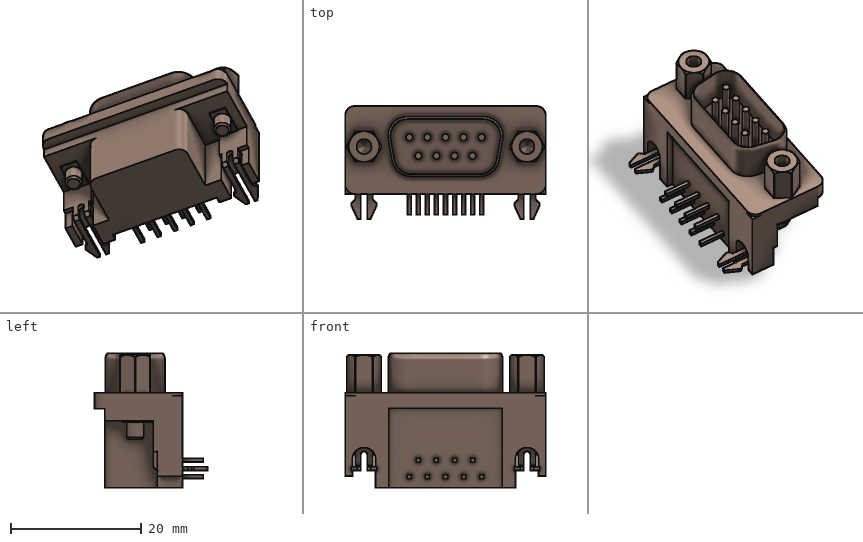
import cadquery as cq
import math


WIDTH = 30.81
FRONT_Y = -7.29
FLANGE_BACK_Y = 6.253
FLANGE_PLATE_T = 0.48
FLANGE_CORNER_R = 1.55
FLANGE_RIM_DEPTH = 2.5
BODY_BACK_Y = 4.67
EAR_BOTTOM_Z = -4.33
BODY_BOTTOM_Z = -14.6
BLOCK_HALF_WIDTH = 8.1
BLOCK_CORNER_R = 1.45
RECESS_WIDTH = 17.45
RECESS_TOP_Z = -2.4
RECESS_DEPTH = 1.0

MOUNT_X = 12.5
ARCH_R = 1.74
ARCH_TOP_Z = -8.43
LEG_BACK_Y = -2.75
LEG_STEP_Z = -9.05
LEG_BOTTOM_Z = -12.8
WALL_HALF_WIDTH = MOUNT_X - ARCH_R

LOCK_WIDTH = 2.7
LOCK_SLOT_WIDTH = 0.98
LOCK_STRAP_T = 0.67
LOCK_PRONG_T = 0.6
LOCK_BOTTOM_Z = -11.95
LOCK_BEND_INNER = 0.2
LOCK_BEND_OUTER = 0.6
LOCK_TIP_Y = -11.131
LOCK_TIP_HALF_WIDTH = 1.0
BARB_HALF_WIDTH = 1.97
BARB_START_Y = -8.1
BARB_BACK_Y = -8.72
BARB_FRONT_Y = -9.02
LOCK_PAD_BACK_Y = 1.95
LOCK_PAD_T = 0.2
LOCK_STRAP_FRONT_Y = LEG_BACK_Y - LOCK_STRAP_T

SHELL_HEIGHT = 6.054
SHELL_HALF_DEPTH = 4.6
SHELL_CORNER_R = 3.0
SHELL_CORNER_X = 5.54
SHELL_SIDE_ANGLE = math.radians(10)
SHELL_WALL = 0.4
LIP_HEIGHT = 0.96
LIP_INSET = 0.37

PITCH = 2.77
ROW_OFFSET_Y = 1.42
PIN_DIA = 1.05
PIN_HEIGHT = 5.45
ROW_COUNTS = (5, 4)
TAIL_SIZE = 0.62
TAIL_TIP_Y = -10.47
TAIL_ROWS_Z = (-12.9, -10.36)

HEX_FLATS = 4.72
HEX_CORNER_DIA = 5.36
HEX_HEIGHT = 5.8
HEX_CHAMFER = 0.33
HOLE_DIA = 2.3
HOLE_DEPTH = 5.0
DRILL_POINT_ANGLE = math.radians(118)
SCREW_DIA = 2.62
SCREW_TIP_Z = -7.15
SCREW_CHAMFER = 0.3


def box(x0, x1, y0, y1, z0, z1):
    return cq.Workplane("XY").box(x1 - x0, y1 - y0, z1 - z0, centered=False).translate((x0, y0, z0))


def row_positions(count):
    return [(i - (count - 1) / 2) * PITCH for i in range(count)]


def make_flange():
    half = WIDTH / 2
    plate = box(-half, half, FRONT_Y, FLANGE_BACK_Y, -FLANGE_PLATE_T, 0)
    plate = plate.edges("|Z").fillet(FLANGE_CORNER_R)
    rim = box(-half, half, BODY_BACK_Y - FLANGE_CORNER_R, FLANGE_BACK_Y, -FLANGE_RIM_DEPTH, 0)
    rim = rim.edges("|Z and >Y").fillet(FLANGE_CORNER_R)
    return plate.union(rim)


def make_leg(side):
    """Slotted leg below one ear; its back face steps forward next to the board lock."""
    inner = side * WALL_HALF_WIDTH
    outer = side * WIDTH / 2
    profile = [
        (FRONT_Y, EAR_BOTTOM_Z),
        (LEG_BACK_Y, EAR_BOTTOM_Z),
        (LEG_BACK_Y, LEG_STEP_Z),
        (LOCK_STRAP_FRONT_Y, LEG_STEP_Z),
        (LOCK_STRAP_FRONT_Y, LEG_BOTTOM_Z),
        (FRONT_Y, LEG_BOTTOM_Z),
    ]
    leg = cq.Workplane("YZ").workplane(offset=inner).polyline(profile).close().extrude(outer - inner)
    spring_z = ARCH_TOP_Z - ARCH_R
    arch = (
        cq.Workplane("XZ", origin=(side * MOUNT_X, LOCK_STRAP_FRONT_Y, 0))
        .moveTo(-ARCH_R, LEG_BOTTOM_Z)
        .lineTo(-ARCH_R, spring_z)
        .threePointArc((0, ARCH_TOP_Z), (ARCH_R, spring_z))
        .lineTo(ARCH_R, LEG_BOTTOM_Z)
        .close()
        .extrude(LOCK_STRAP_FRONT_Y - FRONT_Y)
    )
    return leg.cut(arch)


def make_housing():
    """Ears under the flange, front wall between the arches, rear block and the two legs."""
    half = WIDTH / 2
    ears = box(-half, half, FRONT_Y, BODY_BACK_Y, EAR_BOTTOM_Z, -FLANGE_PLATE_T)
    wall = box(
        -WALL_HALF_WIDTH, WALL_HALF_WIDTH, FRONT_Y, LOCK_STRAP_FRONT_Y, BODY_BOTTOM_Z, EAR_BOTTOM_Z
    )
    block = box(
        -BLOCK_HALF_WIDTH, BLOCK_HALF_WIDTH, FRONT_Y, BODY_BACK_Y, BODY_BOTTOM_Z, EAR_BOTTOM_Z
    )
    block = block.edges("|Z and >Y").fillet(BLOCK_CORNER_R)
    recess = box(
        -RECESS_WIDTH / 2,
        RECESS_WIDTH / 2,
        FRONT_Y,
        FRONT_Y + RECESS_DEPTH,
        BODY_BOTTOM_Z,
        RECESS_TOP_Z,
    )
    housing = ears.union(wall).union(block).union(make_leg(-1)).union(make_leg(1))
    return housing.cut(recess)


def d_outline(inset, height):
    """D-shaped prism standing on Z = 0, its outline moved inwards by `inset`."""
    radius = SHELL_CORNER_R - inset
    centre_y = SHELL_HALF_DEPTH - SHELL_CORNER_R
    lean = centre_y * math.tan(SHELL_SIDE_ANGLE)
    wide_x = SHELL_CORNER_X + lean
    narrow_x = SHELL_CORNER_X - lean
    back_y = centre_y + radius
    side_dx = radius * math.cos(SHELL_SIDE_ANGLE)
    side_dy = -radius * math.sin(SHELL_SIDE_ANGLE)
    wide_mid = math.pi / 4 - SHELL_SIDE_ANGLE / 2
    narrow_mid = -math.pi / 4 - SHELL_SIDE_ANGLE / 2

    def arc_point(x, y, angle):
        return (x + radius * math.cos(angle), y + radius * math.sin(angle))

    wide_arc = arc_point(wide_x, centre_y, wide_mid)
    narrow_arc = arc_point(narrow_x, -centre_y, narrow_mid)
    return (
        cq.Workplane("XY")
        .moveTo(-wide_x, back_y)
        .lineTo(wide_x, back_y)
        .threePointArc(wide_arc, (wide_x + side_dx, centre_y + side_dy))
        .lineTo(narrow_x + side_dx, -centre_y + side_dy)
        .threePointArc(narrow_arc, (narrow_x, -back_y))
        .lineTo(-narrow_x, -back_y)
        .threePointArc((-narrow_arc[0], narrow_arc[1]), (-narrow_x - side_dx, -centre_y + side_dy))
        .lineTo(-wide_x - side_dx, centre_y + side_dy)
        .threePointArc((-wide_arc[0], wide_arc[1]), (-wide_x, back_y))
        .close()
        .extrude(height)
    )


def make_shell():
    lip_r = (LIP_HEIGHT**2 + LIP_INSET**2) / (2 * LIP_INSET)
    rounded = d_outline(0, SHELL_HEIGHT - LIP_HEIGHT + lip_r).faces(">Z").edges().fillet(lip_r)
    return rounded.intersect(d_outline(0, SHELL_HEIGHT)).cut(d_outline(SHELL_WALL, SHELL_HEIGHT))


def make_pins():
    points = []
    for count, y in zip(ROW_COUNTS, (ROW_OFFSET_Y, -ROW_OFFSET_Y)):
        points += [(x, y) for x in row_positions(count)]
    return (
        cq.Workplane("XY", origin=(0, 0, -FLANGE_PLATE_T))
        .pushPoints(points)
        .circle(PIN_DIA / 2)
        .extrude(PIN_HEIGHT + FLANGE_PLATE_T)
    )


def make_tails():
    points = []
    for count, z in zip(ROW_COUNTS, TAIL_ROWS_Z):
        points += [(x, z) for x in row_positions(count)]
    root_y = FRONT_Y + 2 * RECESS_DEPTH
    return (
        cq.Workplane("XZ", origin=(0, root_y, 0))
        .pushPoints(points)
        .rect(TAIL_SIZE, TAIL_SIZE)
        .extrude(root_y - TAIL_TIP_Y)
    )


def make_standoff(side):
    """Hex standoff with turned corners, a chamfered top and a drilled hole."""
    corner_r = HEX_CORNER_DIA / 2
    across_corners = HEX_FLATS / math.cos(math.pi / 6)
    hexagon = cq.Workplane("XY").polygon(6, across_corners).extrude(HEX_HEIGHT)
    turned = cq.Workplane("XY").circle(corner_r).extrude(HEX_HEIGHT).faces(">Z").chamfer(HEX_CHAMFER)
    standoff = hexagon.intersect(turned).translate((side * MOUNT_X, 0, 0))

    hole_r = HOLE_DIA / 2
    hole_bottom = HEX_HEIGHT - HOLE_DEPTH
    cone_tip = hole_bottom - hole_r / math.tan(DRILL_POINT_ANGLE / 2)
    hole = (
        cq.Workplane("XZ")
        .polyline([(0, cone_tip), (hole_r, hole_bottom), (hole_r, HEX_HEIGHT), (0, HEX_HEIGHT)])
        .close()
        .revolve(360, (0, 0, 0), (0, 1, 0))
        .translate((side * MOUNT_X, 0, 0))
    )
    return standoff.cut(hole)


def make_screw(side):
    """End of the standoff's screw, standing out below the ear."""
    return (
        cq.Workplane("XY", origin=(side * MOUNT_X, 0, SCREW_TIP_Z))
        .circle(SCREW_DIA / 2)
        .extrude(EAR_BOTTOM_Z - SCREW_TIP_Z)
        .faces("<Z")
        .chamfer(SCREW_CHAMFER)
    )


def make_board_lock(side):
    """Sheet strap behind the leg, bent forward into two barbed prongs, and the pad round the screw."""
    half = LOCK_WIDTH / 2
    prong_top = LOCK_BOTTOM_Z + LOCK_PRONG_T
    section = [
        (LEG_BACK_Y, LEG_STEP_Z),
        (LEG_BACK_Y, LOCK_BOTTOM_Z + LOCK_BEND_OUTER),
        (LEG_BACK_Y - LOCK_BEND_OUTER, LOCK_BOTTOM_Z),
        (BARB_START_Y, LOCK_BOTTOM_Z),
        (BARB_START_Y, prong_top),
        (LOCK_STRAP_FRONT_Y - LOCK_BEND_INNER, prong_top),
        (LOCK_STRAP_FRONT_Y, prong_top + LOCK_BEND_INNER),
        (LOCK_STRAP_FRONT_Y, LEG_STEP_Z),
    ]
    strap = cq.Workplane("YZ").polyline(section).close().extrude(half, both=True)

    right_edge = [
        (half, BARB_START_Y),
        (BARB_HALF_WIDTH, BARB_BACK_Y),
        (BARB_HALF_WIDTH, BARB_FRONT_Y),
        (LOCK_TIP_HALF_WIDTH, LOCK_TIP_Y),
    ]
    left_edge = [(-x, y) for x, y in reversed(right_edge)]
    barbs = (
        cq.Workplane("XY", origin=(0, 0, LOCK_BOTTOM_Z))
        .polyline(right_edge + left_edge)
        .close()
        .extrude(LOCK_PRONG_T)
    )

    slot_r = LOCK_SLOT_WIDTH / 2
    spring_z = LEG_STEP_Z - slot_r
    slot = (
        cq.Workplane("XZ", origin=(0, LEG_BACK_Y, 0))
        .moveTo(-slot_r, LOCK_BOTTOM_Z)
        .lineTo(-slot_r, spring_z)
        .threePointArc((0, LEG_STEP_Z), (slot_r, spring_z))
        .lineTo(slot_r, LOCK_BOTTOM_Z)
        .close()
        .extrude(LEG_BACK_Y - LOCK_TIP_Y)
    )

    pad = box(-half, half, LEG_BACK_Y, LOCK_PAD_BACK_Y, EAR_BOTTOM_Z - LOCK_PAD_T, EAR_BOTTOM_Z)
    return strap.union(barbs).cut(slot).union(pad).translate((side * MOUNT_X, 0, 0))


result = make_flange().union(make_housing()).union(make_shell()).union(make_pins()).union(make_tails())
for mount_side in (-1, 1):
    result = result.union(make_standoff(mount_side))
    result = result.union(make_screw(mount_side))
    result = result.union(make_board_lock(mount_side))